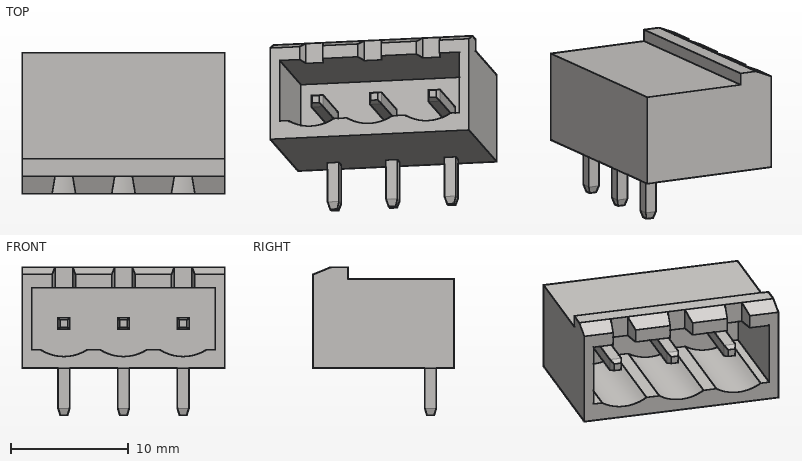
import cadquery as cq

POLES = 3
PITCH = 5.07

WIDTH = 17.24
DEPTH = 12.0
HEIGHT = 8.59
LIP_HEIGHT = 1.0
LIP_DEPTH = 2.98
BEVEL_DEPTH = 1.5
BEVEL_DROP = 0.62

SIDE_WALL = 0.83
FLOOR = 1.55
ROOF = 1.74
CAVITY_DEPTH = 9.14
SCALLOP_WIDTH = 3.93
SCALLOP_SAG = 0.57

NOTCH_FRONT_WIDTH = 2.0
NOTCH_BACK_WIDTH = 1.5

PIN_SIZE = 1.0
TIP_SIZE = 0.62
TIP_LENGTH = 0.62
TAIL_LENGTH = 4.02
TAIL_INSET = 2.0
CONTACT_HEIGHT = 3.8
CONTACT_SETBACK = 2.0

tail_y = DEPTH - TAIL_INSET
pole_positions = [(i - (POLES - 1) / 2) * PITCH for i in range(POLES)]


def make_housing():
    """Block with a raised, bevelled lip along the top of the open face."""
    shoulder = HEIGHT - LIP_HEIGHT
    return (
        cq.Workplane("YZ")
        .moveTo(0, 0)
        .lineTo(DEPTH, 0)
        .lineTo(DEPTH, shoulder)
        .lineTo(LIP_DEPTH, shoulder)
        .lineTo(LIP_DEPTH, HEIGHT)
        .lineTo(BEVEL_DEPTH, HEIGHT)
        .lineTo(0, HEIGHT - BEVEL_DROP)
        .close()
        .extrude(WIDTH / 2, both=True)
    )


def make_cavity():
    """Pocket open at the front, with a shallow scallop in the floor at each pole."""
    half_width = WIDTH / 2 - SIDE_WALL
    outline = cq.Workplane("XZ").moveTo(-half_width, FLOOR)
    for x in pole_positions:
        outline = outline.lineTo(x - SCALLOP_WIDTH / 2, FLOOR).threePointArc(
            (x, FLOOR - SCALLOP_SAG), (x + SCALLOP_WIDTH / 2, FLOOR)
        )
    return (
        outline.lineTo(half_width, FLOOR)
        .lineTo(half_width, HEIGHT - ROOF)
        .lineTo(-half_width, HEIGHT - ROOF)
        .close()
        .extrude(-CAVITY_DEPTH)
    )


def make_notch(x):
    """Notch through the roof that narrows towards the back."""
    return (
        cq.Workplane("XY", origin=(x, 0, HEIGHT - ROOF))
        .moveTo(-NOTCH_FRONT_WIDTH / 2, 0)
        .lineTo(NOTCH_FRONT_WIDTH / 2, 0)
        .lineTo(NOTCH_BACK_WIDTH / 2, BEVEL_DEPTH)
        .lineTo(-NOTCH_BACK_WIDTH / 2, BEVEL_DEPTH)
        .close()
        .extrude(ROOF)
    )


def make_leg(plane, length):
    """Square bar along the plane normal, ending in a tapered tip."""
    shank_length = length - TIP_LENGTH
    shank = cq.Workplane(plane).rect(PIN_SIZE, PIN_SIZE).extrude(shank_length)
    tip = (
        cq.Workplane(plane)
        .workplane(offset=shank_length)
        .rect(PIN_SIZE, PIN_SIZE)
        .workplane(offset=TIP_LENGTH)
        .rect(TIP_SIZE, TIP_SIZE)
        .loft(combine=True)
    )
    return shank.union(tip)


def make_pin(x):
    """Contact reaching forward into the cavity and tail reaching down below the housing."""
    bend = (x, tail_y, CONTACT_HEIGHT)
    contact = make_leg(cq.Plane(bend, xDir=(1, 0, 0), normal=(0, -1, 0)), tail_y - CONTACT_SETBACK)
    tail = make_leg(cq.Plane(bend, xDir=(1, 0, 0), normal=(0, 0, -1)), CONTACT_HEIGHT + TAIL_LENGTH)
    return contact.union(tail)


result = make_housing().cut(make_cavity())
for pole_x in pole_positions:
    result = result.cut(make_notch(pole_x))
for pole_x in pole_positions:
    result = result.union(make_pin(pole_x))